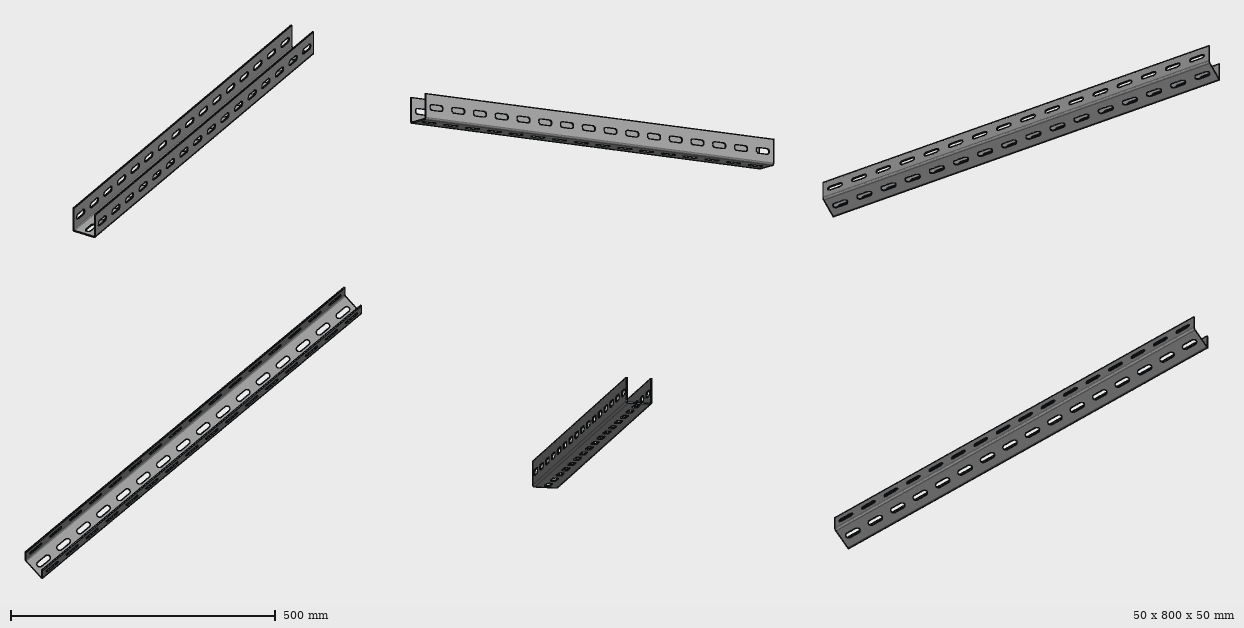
import cadquery as cq

LENGTH = 800.0
WIDTH = 50.0
HEIGHT = 50.0
THICKNESS = 2.5
INNER_BEND_RADIUS = 1.5

SLOT_COUNT = 16
SLOT_LENGTH = 30.0
SLOT_WIDTH = 11.0
SLOT_PITCH = LENGTH / SLOT_COUNT
ALONG_CHANNEL = 90.0

OUTER_BEND_RADIUS = INNER_BEND_RADIUS + THICKNESS


def bar(width, bottom, bend_radius):
    """Full-length bar up to the channel's top, with its two lower long edges rounded."""
    height = HEIGHT - bottom
    block = cq.Workplane("XY").box(width, LENGTH, height, centered=(True, True, False))
    return block.edges("|Y and <Z").fillet(bend_radius).translate((0, 0, bottom))


def channel():
    """U-shaped channel, open at the top and at both ends."""
    outside = bar(WIDTH, 0, OUTER_BEND_RADIUS)
    inside = bar(WIDTH - 2 * THICKNESS, THICKNESS, INNER_BEND_RADIUS)
    return outside.cut(inside)


def slot_positions():
    """Y positions of the slots, evenly pitched with half a pitch left at each end."""
    first = (SLOT_PITCH - LENGTH) / 2
    return [first + index * SLOT_PITCH for index in range(SLOT_COUNT)]


def base_slots():
    """Cutters for the row of slots through the base."""
    centres = [(0, y) for y in slot_positions()]
    return (
        cq.Workplane("XY")
        .pushPoints(centres)
        .slot2D(SLOT_LENGTH, SLOT_WIDTH, ALONG_CHANNEL)
        .extrude(THICKNESS)
    )


def side_slots():
    """Cutters for the aligned rows of slots through both side walls."""
    centres = [(y, HEIGHT / 2) for y in slot_positions()]
    return (
        cq.Workplane("YZ")
        .pushPoints(centres)
        .slot2D(SLOT_LENGTH, SLOT_WIDTH)
        .extrude(WIDTH / 2, both=True)
    )


result = channel().cut(base_slots()).cut(side_slots())